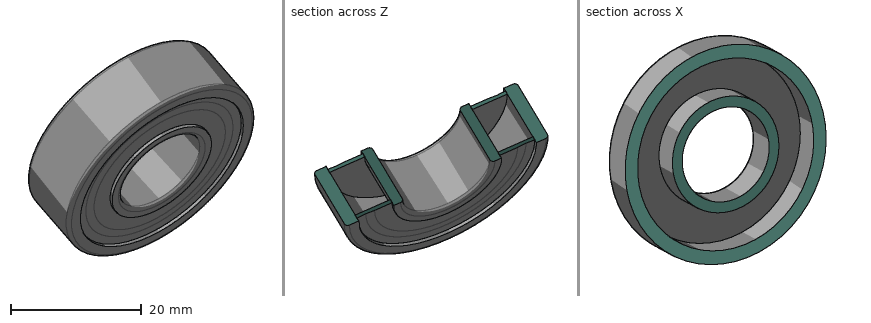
import cadquery as cq

outer_diameter = 35.0
bore_diameter = 15.0
width = 11.0
corner_radius = 0.6

outer_ring_inner_diameter = 30.5
inner_ring_outer_diameter = 18.6

groove_inner_diameter = 24.57
groove_bottom_diameter = (groove_inner_diameter + outer_ring_inner_diameter) / 2
seal_recess = 0.55
groove_depth = 0.088
seal_thickness = 0.7


def make_ring(outside_diameter, inside_diameter):
    """Plain ring spanning the full bearing width."""
    return (
        cq.Workplane("YZ", origin=(-width / 2, 0, 0))
        .circle(outside_diameter / 2)
        .circle(inside_diameter / 2)
        .extrude(width)
    )


def make_outer_ring():
    ring = make_ring(outer_diameter, outer_ring_inner_diameter)
    outside_rims = cq.selectors.RadiusNthSelector(-1)
    return ring.edges(outside_rims).fillet(corner_radius)


def make_inner_ring():
    ring = make_ring(inner_ring_outer_diameter, bore_diameter)
    bore_rims = cq.selectors.RadiusNthSelector(0)
    return ring.edges(bore_rims).fillet(corner_radius)


def make_seal(side):
    """Seal at the -X end (side = -1) or the +X end (side = 1)."""
    face_x = side * (width / 2 - seal_recess)
    groove_x = face_x - side * groove_depth
    back_x = face_x - side * seal_thickness
    profile = [
        (back_x, inner_ring_outer_diameter / 2),
        (face_x, inner_ring_outer_diameter / 2),
        (face_x, groove_inner_diameter / 2),
        (groove_x, groove_bottom_diameter / 2),
        (face_x, outer_ring_inner_diameter / 2),
        (back_x, outer_ring_inner_diameter / 2),
    ]
    return cq.Workplane("XY").polyline(profile).close().revolve(360, (0, 0, 0), (1, 0, 0))


outer_ring = make_outer_ring()
inner_ring = make_inner_ring()
seals = [make_seal(side) for side in (-1, 1)]

result = cq.Compound.makeCompound(
    [outer_ring.val(), inner_ring.val(), *[seal.val() for seal in seals]]
)